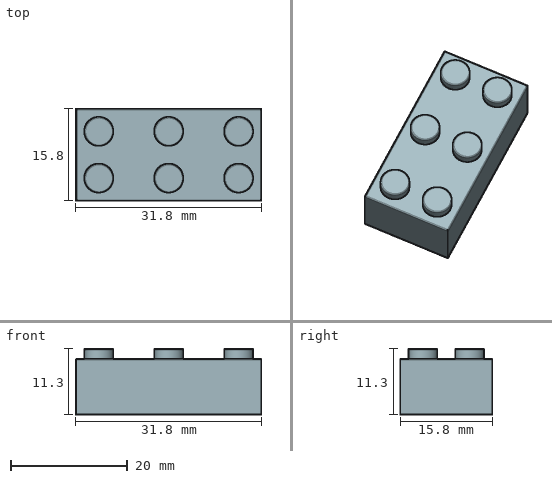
import cadquery as cq

length = 31.8
width = 15.8
total_height = 11.3
stud_height = 1.72
body_height = total_height - stud_height

stud_diameter = 5.0
stud_columns = 3
stud_rows = 2
column_pitch = 12.0
row_pitch = 8.0

edge_radius = 0.2


def make_body():
    """Solid block with a rounded rim around its top face."""
    block = cq.Workplane("XY").box(length, width, body_height, centered=(True, True, False))
    return block.faces(">Z").edges().fillet(edge_radius)


def make_studs():
    """Grid of round studs standing on the body, each with a rounded top rim."""
    studs = (
        cq.Workplane("XY")
        .workplane(offset=body_height)
        .rarray(column_pitch, row_pitch, stud_columns, stud_rows)
        .circle(stud_diameter / 2)
        .extrude(stud_height)
    )
    return studs.faces(">Z").edges().fillet(edge_radius)


result = make_body().union(make_studs())